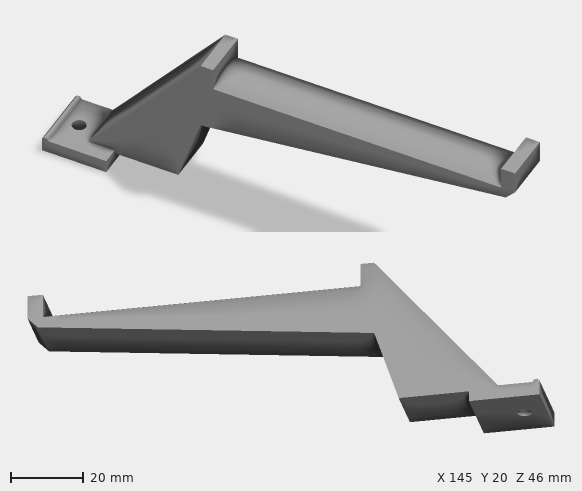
import cadquery as cq

length = 145.0
height = 46.0

plate_side = 20.0
plate_thickness = 4.0
lip_width = 2.0
lip_height = 0.9
lip_bevel = 0.6
hole_diameter = 4.2
hole_x = 6.4

arm_width = 15.0
arm_bottom = 3.0
toe_x = 11.7
heel_x = 39.9
knee_x = 46.8
knee_z = 24.0
post_end_x = 50.8
tip_wall = 4.4
tip_chamfer_x = 2.9
tip_chamfer_z = 3.0

saddle_edge_z = 39.0
crown_rise = 2.2

arm_back_y = plate_side
arm_front_y = arm_back_y - arm_width
tip_wall_x = length - tip_wall


def extrude_profile(points, front_y, width):
    """Extrude an XZ outline from front_y toward +Y."""
    profile = cq.Workplane("XZ", origin=(0, front_y, 0)).polyline(points).close()
    return profile.extrude(-width)


def make_plate():
    lip_top = plate_thickness + lip_height
    outline = [
        (0, 0),
        (plate_side, 0),
        (plate_side, plate_thickness),
        (lip_width, plate_thickness),
        (lip_width - lip_bevel, lip_top),
        (lip_bevel, lip_top),
        (0, lip_top - lip_bevel),
    ]
    plate = extrude_profile(outline, 0, plate_side)
    hole = (
        cq.Workplane("XY")
        .center(hole_x, plate_side / 2)
        .circle(hole_diameter / 2)
        .extrude(plate_thickness)
    )
    return plate.cut(hole)


def make_arm():
    slope_run = (knee_x - toe_x) / (height - plate_thickness)
    buried_toe_x = toe_x - slope_run * (plate_thickness - arm_bottom)
    outline = [
        (buried_toe_x, arm_bottom),
        (heel_x, arm_bottom),
        (knee_x, knee_z),
        (length - tip_chamfer_x, saddle_edge_z - tip_chamfer_z),
        (length, saddle_edge_z),
        (length, height),
        (tip_wall_x, height),
        (tip_wall_x, saddle_edge_z),
        (post_end_x, saddle_edge_z),
        (post_end_x, height),
        (knee_x, height),
    ]
    return extrude_profile(outline, arm_front_y, arm_width)


def make_saddle_crown():
    middle_y = (arm_front_y + arm_back_y) / 2
    return (
        cq.Workplane("YZ", origin=(post_end_x, 0, 0))
        .moveTo(arm_front_y, saddle_edge_z)
        .threePointArc((middle_y, saddle_edge_z + crown_rise), (arm_back_y, saddle_edge_z))
        .close()
        .extrude(tip_wall_x - post_end_x)
    )


result = make_plate().union(make_arm()).union(make_saddle_crown())